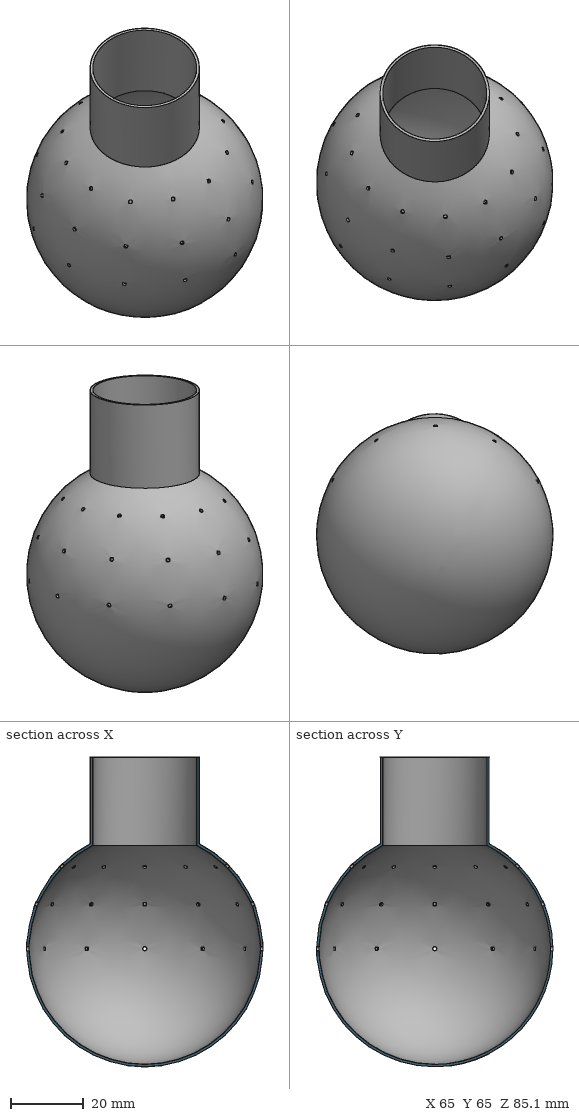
import cadquery as cq
import math

total_height = 85.1
ball_diameter = 65.0
neck_diameter = 30.0
bore_diameter = 28.5
hole_diameter = 1.0
holes_per_ring = 12
ring_latitudes = (0.0, 22.5, 45.0)

ball_radius = ball_diameter / 2
wall = (neck_diameter - bore_diameter) / 2
cavity_radius = ball_radius - wall
neck_top = total_height - ball_radius


def neck_cylinder(diameter):
    """Cylinder from the ball's centre up to the top of the neck."""
    return cq.Workplane("XY").circle(diameter / 2).extrude(neck_top)


def spray_hole(latitude, azimuth):
    """Radial drill from inside the cavity out through the ball's wall."""
    lat = math.radians(latitude)
    lon = math.radians(azimuth)
    direction = cq.Vector(
        math.cos(lat) * math.cos(lon),
        math.cos(lat) * math.sin(lon),
        math.sin(lat),
    )
    start = direction * (cavity_radius - wall)
    return cq.Solid.makeCylinder(hole_diameter / 2, 3 * wall, start, direction)


outer_body = cq.Workplane("XY").sphere(ball_radius).union(neck_cylinder(neck_diameter))
cavity = cq.Workplane("XY").sphere(cavity_radius).union(neck_cylinder(bore_diameter))
shell = outer_body.cut(cavity)

drills = [
    spray_hole(latitude, index * 360 / holes_per_ring)
    for latitude in ring_latitudes
    for index in range(holes_per_ring)
]
result = cq.Workplane("XY").newObject([shell.val().cut(*drills)])